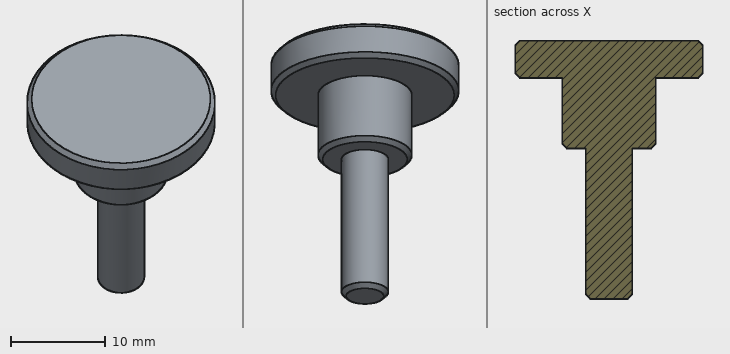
import cadquery as cq

total_height = 27.5
head_diameter = 20.0
head_thickness = 4.0
collar_diameter = head_diameter / 2
shaft_diameter = head_diameter / 4
shaft_length = 16.0
edge_chamfer = 0.5

collar_length = total_height - shaft_length - head_thickness
collar_base = shaft_length
head_base = collar_base + collar_length


def cylinder(diameter, height, base):
    """Upright cylinder centred on the Z axis, standing at height base."""
    return cq.Workplane("XY").workplane(offset=base).circle(diameter / 2).extrude(height)


shaft = cylinder(shaft_diameter, shaft_length, 0).faces("<Z").chamfer(edge_chamfer)
collar = cylinder(collar_diameter, collar_length, collar_base).faces("<Z").chamfer(edge_chamfer)
head = cylinder(head_diameter, head_thickness, head_base).faces("<Z or >Z").chamfer(edge_chamfer)

result = shaft.union(collar).union(head)